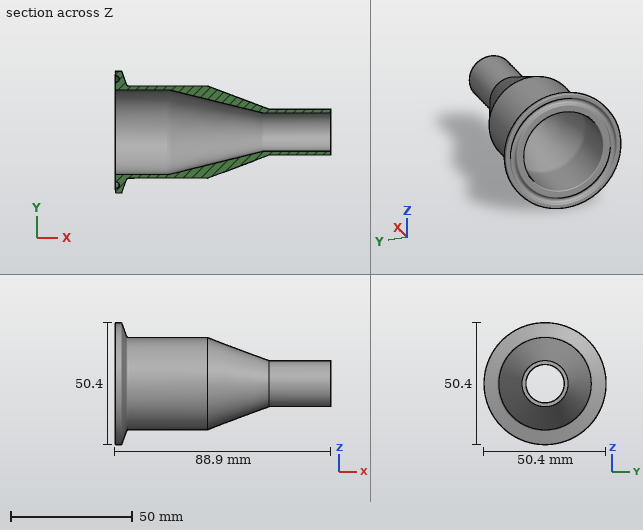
import cadquery as cq
import math

total_length = 88.9
section_length = 25.4
cone_end = total_length - section_length
cone_start = cone_end - section_length

large_outer_diameter = 38.1
large_bore_diameter = 34.8
small_outer_diameter = 19.0
small_bore_diameter = 15.7

bore_taper_start = 22.2
bore_taper_end = 60.9
bore_taper_fillet = 6.2
bore_mouth_fillet = 0.45

flange_diameter = 50.4
rim_width = 2.7
back_angle = math.radians(20)
rim_front_fillet = 0.4
rim_back_fillet = 0.5
neck_fillet = 1.0

groove_diameter = 43.8
groove_depth = 1.6
groove_floor_radius = 1.25
groove_wall_angle = math.radians(20)
groove_lip_fillet = 0.5

large_outer_radius = large_outer_diameter / 2
large_bore_radius = large_bore_diameter / 2
small_outer_radius = small_outer_diameter / 2
small_bore_radius = small_bore_diameter / 2
flange_radius = flange_diameter / 2
groove_radius = groove_diameter / 2

neck_start = rim_width + (flange_radius - large_outer_radius) * math.tan(back_angle)

wall_depth = groove_depth - groove_floor_radius * (1 - math.sin(groove_wall_angle))
floor_half_width = groove_floor_radius * math.cos(groove_wall_angle)
mouth_half_width = floor_half_width + wall_depth * math.tan(groove_wall_angle)
groove_inner_radius = groove_radius - mouth_half_width
groove_outer_radius = groove_radius + mouth_half_width


def make_reducer():
    """Revolve the wall section (X along the axis, Y as radius) about the X axis."""
    section = (
        cq.Workplane("XY")
        .moveTo(0, large_bore_radius)
        .lineTo(0, groove_inner_radius)
        .lineTo(wall_depth, groove_radius - floor_half_width)
        .threePointArc((groove_depth, groove_radius), (wall_depth, groove_radius + floor_half_width))
        .lineTo(0, groove_outer_radius)
        .lineTo(0, flange_radius)
        .lineTo(rim_width, flange_radius)
        .lineTo(neck_start, large_outer_radius)
        .lineTo(cone_start, large_outer_radius)
        .lineTo(cone_end, small_outer_radius)
        .lineTo(total_length, small_outer_radius)
        .lineTo(total_length, small_bore_radius)
        .lineTo(bore_taper_end, small_bore_radius)
        .lineTo(bore_taper_start, large_bore_radius)
        .close()
    )
    return section.revolve(360, (0, 0, 0), (1, 0, 0))


def box_around_ring(x, radius, margin):
    """Select edges inside a thin box that reaches the given margin past a ring's radius."""
    thickness = 0.01
    reach = radius + margin
    return cq.selectors.BoxSelector(
        (x - thickness, -reach, -reach), (x + thickness, reach, reach), boundingbox=True
    )


def round_ring(body, x, radius, fillet):
    """Round the circular edge of the given radius that lies in the plane at x."""
    margin = 0.01
    ring = box_around_ring(x, radius, margin) - box_around_ring(x, radius, -margin)
    return body.edges(ring).fillet(fillet)


result = make_reducer()
result = round_ring(result, 0, large_bore_radius, bore_mouth_fillet)
result = round_ring(result, 0, groove_inner_radius, groove_lip_fillet)
result = round_ring(result, 0, groove_outer_radius, groove_lip_fillet)
result = round_ring(result, 0, flange_radius, rim_front_fillet)
result = round_ring(result, rim_width, flange_radius, rim_back_fillet)
result = round_ring(result, neck_start, large_outer_radius, neck_fillet)
result = round_ring(result, bore_taper_start, large_bore_radius, bore_taper_fillet)